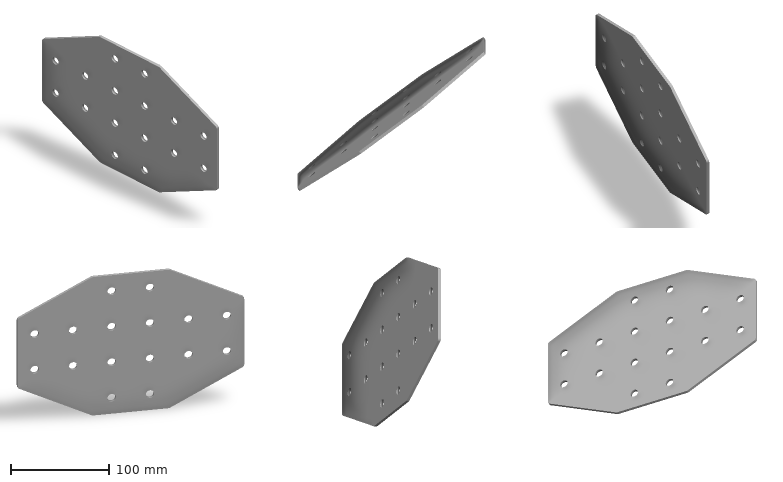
import cadquery as cq

length = 236.0
height = 156.0
thickness = 3.0
top_flat = 80.0
side_flat = 77.9
corner_radius = 3.0

hole_diameter = 8.5
hole_pitch = top_flat / 2
holes_per_row = [2, 6, 6, 2]


def make_plate():
    """Octagonal plate centred on the origin, with rounded corners."""
    outline = [
        (-length / 2, -side_flat / 2),
        (-top_flat / 2, -height / 2),
        (top_flat / 2, -height / 2),
        (length / 2, -side_flat / 2),
        (length / 2, side_flat / 2),
        (top_flat / 2, height / 2),
        (-top_flat / 2, height / 2),
        (-length / 2, side_flat / 2),
    ]
    return (
        cq.Workplane("XZ")
        .polyline(outline)
        .close()
        .extrude(thickness / 2, both=True)
        .edges("|Y")
        .fillet(corner_radius)
    )


def hole_centers():
    """Two long rows through the middle, plus a short row above and below."""
    centers = []
    row_count = len(holes_per_row)
    for row, count in enumerate(holes_per_row):
        z = (row - (row_count - 1) / 2) * hole_pitch
        for column in range(count):
            x = (column - (count - 1) / 2) * hole_pitch
            centers.append((x, z))
    return centers


def make_holes():
    """Pins that cut every hole right through the plate."""
    return (
        cq.Workplane("XZ")
        .pushPoints(hole_centers())
        .circle(hole_diameter / 2)
        .extrude(thickness, both=True)
    )


result = make_plate().cut(make_holes())